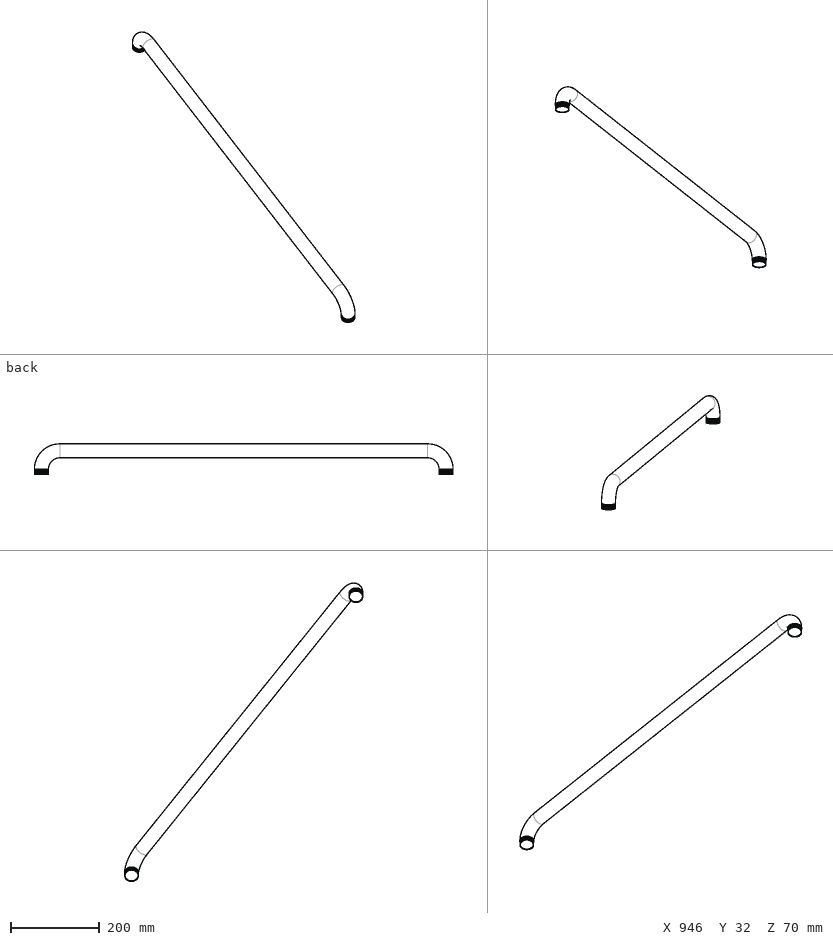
import cadquery as cq
import math

overall_length = 946.0
overall_height = 70.0
bar_diameter = 32.0
foot_diameter = 31.0
foot_height = 12.0
groove_count = 4
groove_depth = 1.0

bar_radius = bar_diameter / 2
foot_radius = foot_diameter / 2
foot_spacing = overall_length - bar_diameter
foot_positions = (-foot_spacing / 2, foot_spacing / 2)
bar_axis_height = overall_height - bar_radius
bend_radius = bar_axis_height - foot_height
groove_pitch = foot_height / groove_count
groove_width = groove_pitch / 2


def make_handle():
    """Round bar with a quarter bend down to each foot."""
    left, right = foot_positions
    bend_offset = bend_radius * math.sin(math.radians(45))
    left_bend_center = left + bend_radius
    right_bend_center = right - bend_radius
    bend_middle_height = foot_height + bend_offset
    path = (
        cq.Workplane("XZ")
        .moveTo(left, foot_height)
        .threePointArc(
            (left_bend_center - bend_offset, bend_middle_height),
            (left_bend_center, bar_axis_height),
        )
        .lineTo(right_bend_center, bar_axis_height)
        .threePointArc(
            (right_bend_center + bend_offset, bend_middle_height),
            (right, foot_height),
        )
    )
    profile = cq.Workplane("XY", origin=(left, 0, foot_height)).circle(bar_radius)
    return profile.sweep(path)


def make_foot(x):
    """Round foot, slightly slimmer than the bar, ringed with evenly spaced grooves."""
    foot = cq.Workplane("XY", origin=(x, 0, 0)).circle(foot_radius).extrude(foot_height)
    for index in range(groove_count):
        groove_bottom = (index + 0.5) * groove_pitch - groove_width / 2
        groove = (
            cq.Workplane("XY", origin=(x, 0, groove_bottom))
            .circle(bar_radius)
            .circle(foot_radius - groove_depth)
            .extrude(groove_width)
        )
        foot = foot.cut(groove)
    return foot


handle = make_handle()
feet = [make_foot(x) for x in foot_positions]

result = cq.Compound.makeCompound([handle.val(), *[foot.val() for foot in feet]])